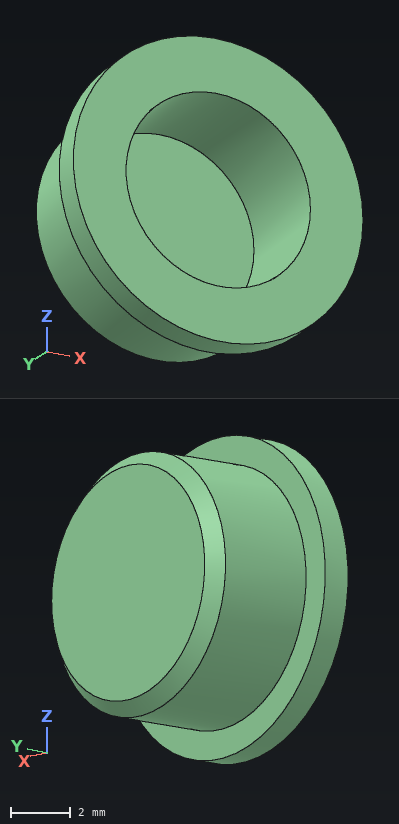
import cadquery as cq

flange_diameter = 11.0
flange_thickness = 1.0
body_diameter = 9.0
total_length = 5.0
end_chamfer = 0.5
bore_diameter = 7.0
floor_thickness = 1.0
bore_depth = total_length - floor_thickness


def cylinder_along_y(diameter, length):
    """Cylinder from the flange face at Y = 0 toward +Y."""
    return cq.Workplane("XZ").circle(diameter / 2).extrude(-length)


flange = cylinder_along_y(flange_diameter, flange_thickness)
body = cylinder_along_y(body_diameter, total_length).faces(">Y").chamfer(end_chamfer)
bore = cylinder_along_y(bore_diameter, bore_depth)

result = flange.union(body).cut(bore)